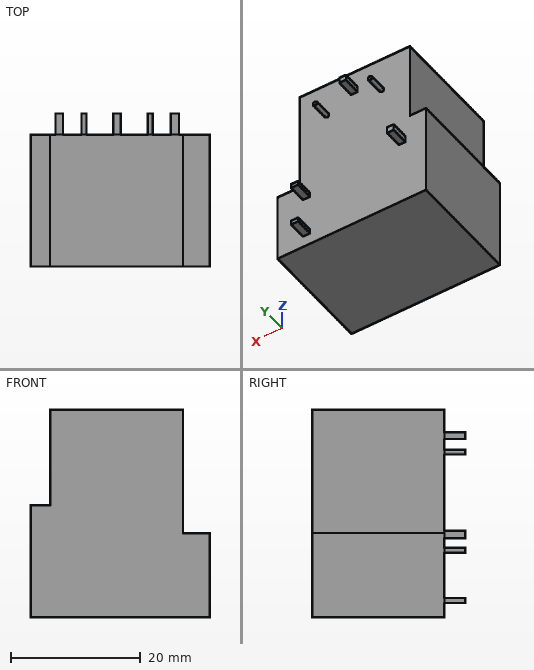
import cadquery as cq

upper_width = 20.5
left_ledge_width = 3.0
right_ledge_width = 4.1
left_ledge_height = 17.3
right_ledge_height = 13.0
housing_height = 32.0
housing_depth = 20.35

pin_length = 3.25
pin_centre_x = 0.06

common_width = 1.2
common_thickness = 1.05
common_z = 28.0

coil_diameter = 0.8
coil_spacing = 10.2
coil_row_drop = 2.54
coil_z = common_z - coil_row_drop

contact_spacing = 17.8
contact_x = contact_spacing / 2
left_contact_drop = 15.24
right_contact_upper_drop = 17.64
right_contact_lower_drop = 25.4
left_contact_width = 1.2
left_contact_thickness = 1.2
left_contact_z = common_z - left_contact_drop
right_contact_width = 1.3
right_contact_thickness = 0.8
right_contact_upper_z = common_z - right_contact_upper_drop
right_contact_lower_z = common_z - right_contact_lower_drop


def make_housing():
    """Block with a low ledge along each side of its upper part."""
    upper_left = -upper_width / 2
    upper_right = upper_width / 2
    outer_left = upper_left - left_ledge_width
    outer_right = upper_right + right_ledge_width
    outline = [
        (outer_left, 0),
        (outer_right, 0),
        (outer_right, right_ledge_height),
        (upper_right, right_ledge_height),
        (upper_right, housing_height),
        (upper_left, housing_height),
        (upper_left, left_ledge_height),
        (outer_left, left_ledge_height),
    ]
    return cq.Workplane("XZ").polyline(outline).close().extrude(housing_depth)


def make_flat_pin(x, z, width, thickness):
    """Rectangular pin centred on (x, z), standing on the pin face."""
    return cq.Workplane("XZ").center(x, z).rect(width, thickness).extrude(-pin_length)


def make_coil_pin(x):
    """Round pin in the coil row, standing on the pin face."""
    return cq.Workplane("XZ").center(x, coil_z).circle(coil_diameter / 2).extrude(-pin_length)


housing = make_housing()

common_pin = make_flat_pin(pin_centre_x, common_z, common_width, common_thickness)

coil_pins = [make_coil_pin(pin_centre_x + side * coil_spacing / 2) for side in (-1, 1)]

left_contact_pin = make_flat_pin(
    pin_centre_x - contact_x, left_contact_z, left_contact_width, left_contact_thickness
)

right_contact_pins = [
    make_flat_pin(pin_centre_x + contact_x, z, right_contact_width, right_contact_thickness)
    for z in (right_contact_upper_z, right_contact_lower_z)
]

result = cq.Compound.makeCompound([
    housing.val(),
    common_pin.val(),
    *[pin.val() for pin in coil_pins],
    left_contact_pin.val(),
    *[pin.val() for pin in right_contact_pins],
])